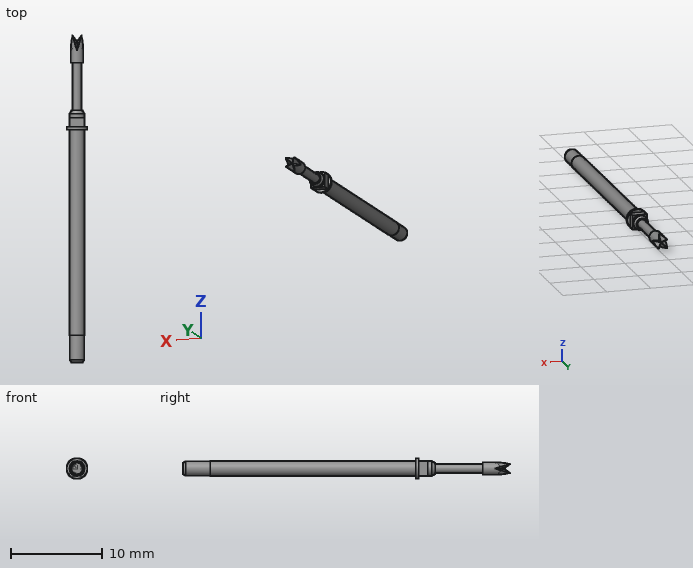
import math

import cadquery as cq

total_length = 35.8

tail_diameter = 1.6
tail_radius = tail_diameter / 2
tail_length = 3.0
tail_chamfer_width = 0.18
tail_chamfer_length = 0.3

barrel_radius = 0.82
flange_radius = 1.15
flange_thickness = 0.35
flange_front_y = total_length - 10.0

square_width = 2 * barrel_radius
square_front_y = total_length - 9.0
nose_taper_y = total_length - 8.6
nose_end_y = total_length - 8.2
nose_end_diameter = 1.25
nose_end_radius = nose_end_diameter / 2

shaft_radius = 0.5
head_diameter = 1.4
head_radius = head_diameter / 2
head_length = 3.0

tooth_count = 4
groove_depth_at_axis = 0.68
groove_depth_at_rim = 1.65


def make_turned_body():
    """Revolve the stepped outline, drawn as (Y, radius), about the Y axis."""
    head_start_y = total_length - head_length
    flange_back_y = flange_front_y - flange_thickness
    outline = [
        (0, 0),
        (0, tail_radius - tail_chamfer_width),
        (tail_chamfer_length, tail_radius),
        (tail_length, tail_radius),
        (tail_length, barrel_radius),
        (flange_back_y, barrel_radius),
        (flange_back_y, flange_radius),
        (flange_front_y, flange_radius),
        (flange_front_y, barrel_radius),
        (nose_taper_y, barrel_radius),
        (nose_end_y, nose_end_radius),
        (nose_end_y, shaft_radius),
        (head_start_y, shaft_radius),
        (head_start_y, head_radius),
        (total_length, head_radius),
        (total_length, 0),
    ]
    return cq.Workplane("YZ").polyline(outline).close().revolve(360, (0, 0), (1, 0))


def make_square_seat():
    """Square collar between the flange and the nose, with flats facing X and Z."""
    length = square_front_y - flange_front_y
    return cq.Workplane("XY").box(square_width, length, square_width).translate(
        (0, flange_front_y + length / 2, 0)
    )


def make_groove():
    """V-shaped cutter above the axis whose bottom line runs outward and down to the rim.

    Its sides meet those of the neighbouring grooves along ridges that rise from the
    axis to a sharp tip on the head's outer surface, halfway between the grooves.
    """
    bottom_slope = (groove_depth_at_rim - groove_depth_at_axis) / head_radius
    bottom_angle = math.atan(bottom_slope)
    tip_offset = head_radius * math.sin(math.pi / tooth_count)
    side_slope = groove_depth_at_axis / tip_offset + bottom_slope
    half_width = 2 * head_radius
    half_length = 3 * head_radius
    height = half_width * side_slope * math.cos(bottom_angle)
    section = cq.Plane(
        origin=(0, total_length - groove_depth_at_axis, 0),
        xDir=(1, 0, 0),
        normal=(0, -math.sin(bottom_angle), math.cos(bottom_angle)),
    )
    return (
        cq.Workplane(section)
        .polyline([(0, 0), (half_width, height), (-half_width, height)])
        .close()
        .extrude(half_length, both=True)
    )


result = make_turned_body().union(make_square_seat())

groove = make_groove()
for index in range(tooth_count):
    turn = index * 360 / tooth_count
    result = result.cut(groove.rotate((0, 0, 0), (0, 1, 0), turn))